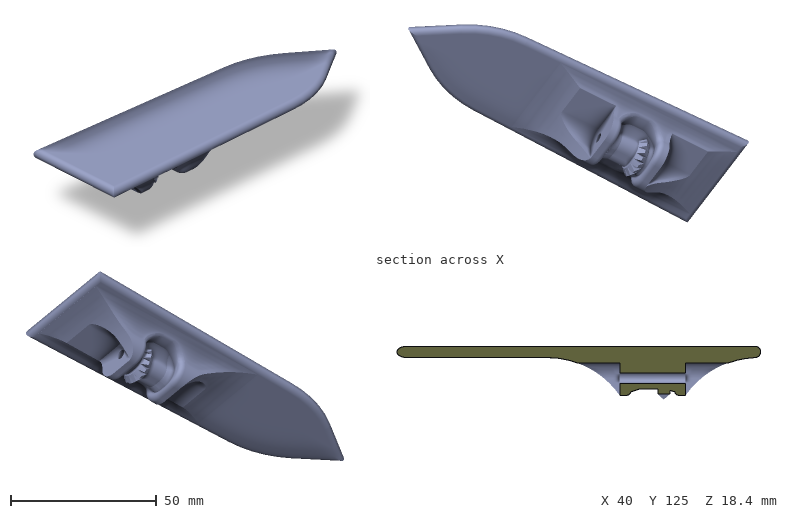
import cadquery as cq
import math

length = 125.0
base_half_width = 20.0
shoulder_half_width = 17.8
shoulder_y = 25.5
nose_half_width = 10.6
nose_y = 47.4
plate_thickness = 4.0

bracket_half_width = 10.0
bracket_bottom = -17.0
bracket_front_y = -36.8
bracket_rear_y = -14.1
flare_radius = 6.0
bottom_radius = 6.0
ramp_radius = 30.6

pocket_wall_x = 5.1
pocket_ceiling = -5.9
pocket_corner_radius = 5.0

hole_diameter = 3.5
neck_half_width = 5.2
neck_bottom = -14.9
collar_height = 0.9
collar_length = 2.5
groove_half_length = 7.4
groove_top = -5.5
groove_edge_radius = 1.8
ring_y = -29.2
ring_width = 4.2
ring_root_radius = 5.5
ring_tip_radius = 7.5
ring_top = -9.5
notch_half_width = 0.9
tooth_count = 16

plate_bottom = -plate_thickness
edge_radius = plate_thickness / 2
axis_z = bracket_bottom + bottom_radius
bracket_middle_y = (bracket_front_y + bracket_rear_y) / 2
groove_front_y = bracket_middle_y - groove_half_length
groove_rear_y = bracket_middle_y + groove_half_length
groove_arch_radius = groove_top - axis_z
ramp_drop = plate_bottom - bracket_bottom
ramp_reach = math.sqrt(ramp_radius**2 - (ramp_radius - ramp_drop)**2)
clearance = length
tolerance = 0.01


def make_plate():
    """Tapered plate with a pointed nose and fully rounded edges."""
    base_y = -length / 2
    outline = (
        cq.Workplane("XY")
        .moveTo(0, base_y)
        .lineTo(base_half_width, base_y)
        .lineTo(shoulder_half_width, shoulder_y)
        .tangentArcPoint((nose_half_width, nose_y), relative=False)
        .lineTo(0, length / 2)
        .mirrorY()
    )
    rounded_top = outline.extrude(-plate_thickness).faces(">Z").edges().fillet(edge_radius)
    lower_side = cq.Workplane("XY").box(clearance * 2, clearance * 2, clearance)
    upper_half = rounded_top.cut(lower_side.translate((0, 0, -edge_radius - clearance / 2)))
    lower_half = upper_half.mirror("XY", (0, 0, -edge_radius))
    return upper_half.union(lower_half, clean=True)


def flared_section(half_width, bottom, corner_radius, y):
    """Closed XZ outline at y: rounded bottom corners, sides flaring out to the plate."""
    flare_start = plate_bottom - flare_radius
    mid = math.sqrt(0.5)
    roof = plate_bottom / 2
    flare_x = half_width + flare_radius
    corner_x = half_width - corner_radius
    corner_z = bottom + corner_radius
    return (
        cq.Workplane("XZ", origin=(0, y, 0))
        .moveTo(0, roof)
        .lineTo(flare_x, roof)
        .lineTo(flare_x, plate_bottom)
        .threePointArc(
            (flare_x - flare_radius * mid, flare_start + flare_radius * mid),
            (half_width, flare_start),
        )
        .lineTo(half_width, corner_z)
        .threePointArc(
            (corner_x + corner_radius * mid, corner_z - corner_radius * mid),
            (corner_x, bottom),
        )
        .lineTo(0, bottom)
        .mirrorY()
    )


def flared_bar(half_width, bottom, corner_radius, front_y, rear_y):
    """Straight bar along Y with the flared section."""
    section = flared_section(half_width, bottom, corner_radius, rear_y)
    return section.extrude(rear_y - front_y)


def ramp_cutter(block_y, direction):
    """Region below a ramp that curves up from the block end to meet the plate tangentially."""
    start_y = block_y + direction * ramp_reach
    half_angle = math.asin(ramp_reach / ramp_radius) / 2
    middle_y = start_y - direction * ramp_radius * math.sin(half_angle)
    middle_z = plate_bottom - ramp_radius * (1 - math.cos(half_angle))
    return (
        cq.Workplane("YZ")
        .moveTo(block_y, bracket_bottom)
        .threePointArc((middle_y, middle_z), (start_y, plate_bottom))
        .lineTo(start_y, bracket_bottom)
        .close()
        .extrude(clearance, both=True)
    )


def pocket_cutter(block_y, direction):
    """Open pocket beside a ramp, with a rounded inner ceiling corner."""
    return (
        cq.Workplane("XY")
        .box(clearance, clearance, clearance)
        .edges(">X and >Z")
        .fillet(pocket_corner_radius)
        .translate((
            pocket_wall_x - clearance / 2,
            block_y + direction * clearance / 2,
            pocket_ceiling - clearance / 2,
        ))
    )


def cut_groove(bracket):
    """Cut an arched window across the bracket and round its outer edges."""
    window_height = 2 * (groove_top - bracket_bottom)
    window = (
        cq.Workplane("XY")
        .box(clearance, groove_rear_y - groove_front_y, window_height)
        .edges("|X and >Z")
        .fillet(groove_arch_radius)
        .translate((0, bracket_middle_y, groove_top - window_height / 2))
    )
    grooved = bracket.cut(window)
    groove_zone = cq.selectors.BoxSelector(
        (-clearance, groove_front_y - tolerance, -clearance),
        (clearance, groove_rear_y + tolerance, plate_bottom - tolerance),
    )
    outer_edges = grooved.edges(groove_zone).filter(
        lambda edge: abs(edge.Center().x) > tolerance
        or abs(edge.Center().z - bracket_bottom) < tolerance
    )
    return outer_edges.fillet(groove_edge_radius)


def make_neck():
    """Neck along the groove, swelling toward both groove walls."""
    neck_radius = axis_z - neck_bottom
    neck = flared_bar(neck_half_width, neck_bottom, neck_radius, groove_front_y, groove_rear_y)
    for wall_y, inward in ((groove_front_y, 1), (groove_rear_y, -1)):
        wall_wire = flared_section(
            neck_half_width + collar_height,
            neck_bottom - collar_height,
            neck_radius + collar_height,
            wall_y,
        ).wires().val()
        neck_wire = flared_section(
            neck_half_width, neck_bottom, neck_radius, wall_y + inward * collar_length
        ).wires().val()
        collar = cq.Solid.makeLoft([wall_wire, neck_wire], True)
        neck = neck.union(cq.Workplane(collar))
    return neck


def make_bracket():
    """Bracket with end ramps, pockets and the waisted neck."""
    front_limit = -length / 2 + edge_radius
    rear_limit = bracket_rear_y + ramp_reach
    bracket = flared_bar(bracket_half_width, bracket_bottom, bottom_radius, front_limit, rear_limit)
    for block_y, direction in ((bracket_front_y, -1), (bracket_rear_y, 1)):
        bracket = bracket.cut(ramp_cutter(block_y, direction))
        bracket = bracket.cut(pocket_cutter(block_y, direction))
    return cut_groove(bracket).union(make_neck())


def make_ring():
    """Ring with a V-shaped rim, notched into teeth and cut off flat at the top."""
    half = ring_width / 2
    ring = (
        cq.Workplane("XY")
        .polyline([
            (0, ring_y - half),
            (ring_root_radius, ring_y - half),
            (ring_tip_radius, ring_y),
            (ring_root_radius, ring_y + half),
            (0, ring_y + half),
        ])
        .close()
        .revolve(360, (0, 0, 0), (0, 1, 0))
        .translate((0, 0, axis_z))
    )
    notch = (
        cq.Workplane("XZ", origin=(0, ring_y + half, axis_z))
        .polyline([
            (0, -ring_root_radius),
            (notch_half_width, -ring_tip_radius),
            (-notch_half_width, -ring_tip_radius),
        ])
        .close()
        .extrude(ring_width)
    )
    for tooth in range(tooth_count):
        angle = 360 / tooth_count * tooth
        ring = ring.cut(notch.rotate((0, 0, axis_z), (0, 1, axis_z), angle))
    above_ring = cq.Workplane("XY").box(clearance, clearance, clearance)
    return ring.cut(above_ring.translate((0, 0, ring_top + clearance / 2)))


pin_hole = (
    cq.Workplane("XZ", origin=(0, 0, axis_z))
    .circle(hole_diameter / 2)
    .extrude(clearance, both=True)
)

result = make_plate().union(make_bracket()).union(make_ring()).cut(pin_hole)